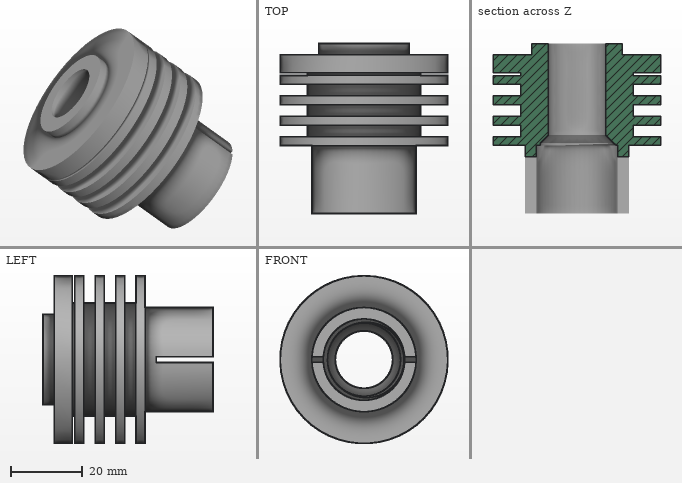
import cadquery as cq
import math

Y_DIRECTION = cq.Vector(0, 1, 0)

overall_length = 47.6
front_end = -overall_length / 2
back_end = overall_length / 2

flange_diameter = 47.0
boss_diameter = 25.45
boss_length = 3.15
flange_thickness = 5.1
core_diameter = 31.7
tube_diameter = 29.2
tube_length = 19.0

fin_count = 4
fin_thickness = 2.55
fin_pitch = 5.7

slot_width = 1.55
slot_length = 15.85

tube_bore_diameter = 22.8
tube_bore_depth = tube_length
land_diameter = 20.5
land_length = 0.7
through_diameter = 16.0
cone_half_angle = 45.0

countersink_diameter = 21.15
countersink_slope = 31.0
countersink_depth = 0.65
countersink_offset_x = 0.6
countersink_offset_z = -0.1

fin_face = front_end + tube_length
flange_back = back_end - boss_length
flange_front = flange_back - flange_thickness
shelf = front_end + tube_bore_depth
cone_start = shelf + land_length


def disc(start, length, diameter):
    """Cylinder on the Y axis running from `start` toward +Y."""
    return cq.Workplane(cq.Solid.makeCylinder(diameter / 2, length, cq.Vector(0, start, 0), Y_DIRECTION))


def cone(start, length, start_diameter, end_diameter):
    """Truncated cone on the Y axis, running from `start` toward +Y."""
    base_point = cq.Vector(0, start, 0)
    return cq.Workplane(cq.Solid.makeCone(start_diameter / 2, end_diameter / 2, length, base_point, Y_DIRECTION))


def outer_body():
    body = disc(front_end, tube_length, tube_diameter)
    body = body.union(disc(fin_face, flange_front - fin_face, core_diameter))
    body = body.union(disc(flange_front, flange_thickness, flange_diameter))
    body = body.union(disc(flange_back, boss_length, boss_diameter))
    for i in range(fin_count):
        body = body.union(disc(fin_face + i * fin_pitch, fin_thickness, flange_diameter))
    return body


def cut_bore(body):
    cone_length = (land_diameter - through_diameter) / 2 / math.tan(math.radians(cone_half_angle))
    body = body.cut(disc(front_end, overall_length, through_diameter))
    body = body.cut(disc(front_end, tube_bore_depth, tube_bore_diameter))
    body = body.cut(disc(shelf, land_length, land_diameter))
    return body.cut(cone(cone_start, cone_length, land_diameter, through_diameter))


def cut_offset_countersink(body):
    bottom_diameter = countersink_diameter - 2 * countersink_depth / math.tan(math.radians(countersink_slope))
    countersink = cone(shelf, countersink_depth, countersink_diameter, bottom_diameter)
    return body.cut(countersink.translate((countersink_offset_x, 0, countersink_offset_z)))


def cut_slot(body):
    slot = cq.Workplane("XY").box(flange_diameter, slot_length, slot_width)
    slot_center_y = front_end + slot_length / 2
    return body.cut(slot.translate((0, slot_center_y, 0)))


result = cut_slot(cut_offset_countersink(cut_bore(outer_body())))